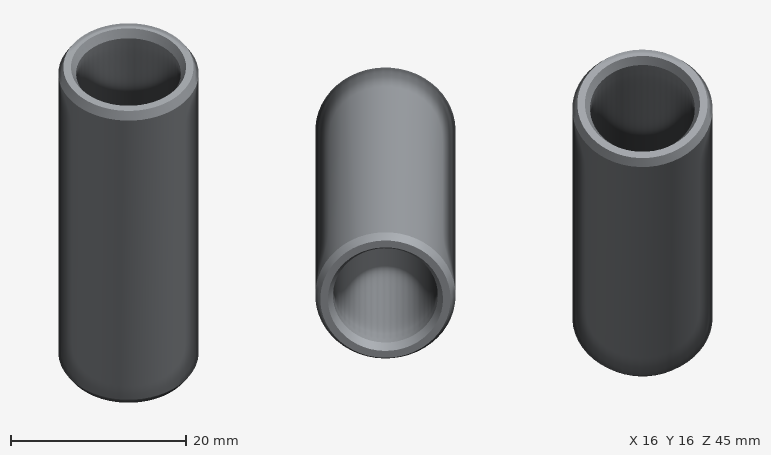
import cadquery as cq
import math

length = 45.0
outer_radius = 8.0
bore_radius = 6.0

outer_bevel_height = 1.0
outer_bevel_angle = 30.0
outer_bevel_width = outer_bevel_height * math.tan(math.radians(outer_bevel_angle))
bore_bevel_width = 0.6
bore_bevel_height = 1.0

half_length = length / 2
end_outer_radius = outer_radius - outer_bevel_width
end_bore_radius = bore_radius + bore_bevel_width
outer_bevel_start = half_length - outer_bevel_height
bore_bevel_start = half_length - bore_bevel_height

wall_section = [
    (bore_radius, -bore_bevel_start),
    (end_bore_radius, -half_length),
    (end_outer_radius, -half_length),
    (outer_radius, -outer_bevel_start),
    (outer_radius, outer_bevel_start),
    (end_outer_radius, half_length),
    (end_bore_radius, half_length),
    (bore_radius, bore_bevel_start),
]

result = (
    cq.Workplane("XZ")
    .polyline(wall_section)
    .close()
    .revolve(360, (0, 0, 0), (0, 1, 0))
)